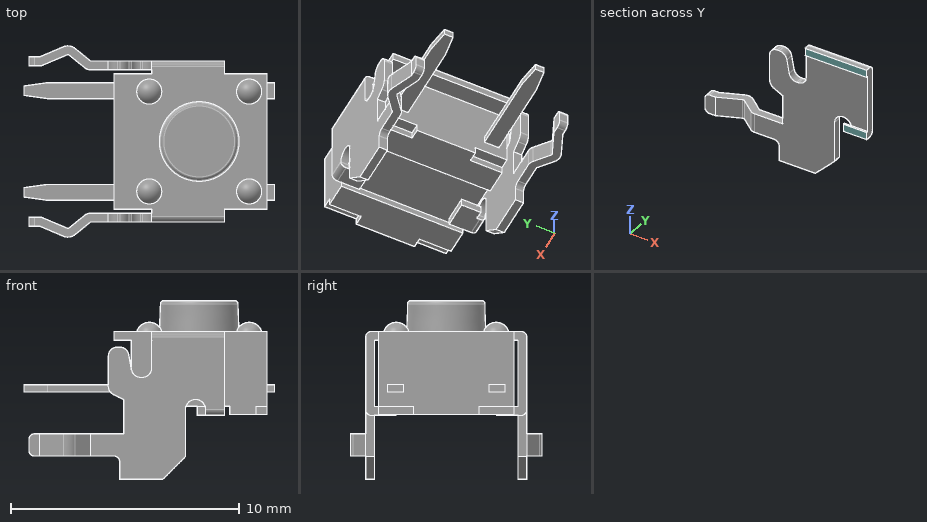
import cadquery as cq
import math


body_size = 5.96
body_half = body_size / 2
body_bottom = -3.65
relief_ceiling = -3.29
channel_width = 2.68
corner_relief_length = 0.48
corner_relief_inner_y = 1.43

sheet = 0.4
cover_left = -3.74
bracket_outer_y = 3.54
bracket_inner_y = bracket_outer_y - sheet
bend_radius = 0.26
tab_left = -2.09
tab_right = 1.12

slot_radius = 0.4
slot_flat = 0.08
slot_right_center = (tab_left - slot_radius, -1.62)
slot_left_center = (slot_right_center[0] - slot_flat, slot_right_center[1])
ear_left = -3.99
ear_radius = 0.4
ear_flat = 0.11
ear_left_center = (ear_left + ear_radius, -1.09)
ear_right_center = (ear_left_center[0] + ear_flat, ear_left_center[1])
ear_bottom_angle = 26
ear_lower_radius = 0.43
neck_left = -3.31
neck_top = -3.0

stem_bottom = -6.5
stem_left = -3.49
stem_right = -0.6
stem_chamfer = 1.0
corner_radius = 0.25
clearance_radius = 0.44

foot_bottom = relief_ceiling - sheet
foot_left = -0.095
foot_inner_y = 2.2

arm_top = -4.49
arm_bottom = -5.475
arm_end = -7.47
arm_tail_outer_y = 3.72
arm_tip_y = 4.2
arm_tip_x = -5.76
arm_tip_inner_radius = 0.1
arm_tip_radius = arm_tip_inner_radius + sheet
arm_near_angle = 39
arm_far_angle = 23

pin_left = -7.69
pin_right = 3.31
pin_taper_end = -6.66
pin_width = 0.71
pin_tip_width = 0.42
pin_thickness = 0.33
pin_y = 2.23
pin_z = -2.5

button_diameter = 3.5
button_top_diameter = 3.4
button_height = 1.35
button_edge_radius = 0.15
rivet_radius = 0.55
rivet_height = 0.4
rivet_offset = 2.19


def box(x0, x1, y0, y1, z0, z1):
    return cq.Workplane("XY").box(x1 - x0, y1 - y0, z1 - z0, centered=False).translate((x0, y0, z0))


def on_circle(center, radius, degrees):
    angle = math.radians(degrees)
    return (center[0] + radius * math.cos(angle), center[1] + radius * math.sin(angle))


def make_housing():
    housing = box(-body_half, body_half, -body_half, body_half, body_bottom, 0)
    housing = housing.cut(
        box(-channel_width / 2, channel_width / 2, -body_half, body_half, body_bottom, relief_ceiling)
    )
    relief_start = body_half - corner_relief_length
    relief = box(relief_start, body_half, corner_relief_inner_y, body_half, body_bottom, relief_ceiling)
    for side in (relief, relief.mirror("XZ")):
        housing = housing.cut(side).cut(side.mirror("YZ"))
    return housing


def make_cover():
    return box(cover_left, body_half, -body_half, body_half, -sheet, 0)


def make_bracket_plate():
    dx = slot_left_center[0] - ear_right_center[0]
    dz = slot_left_center[1] - ear_right_center[1]
    spread = math.degrees(math.acos((ear_radius + slot_radius) / math.hypot(dx, dz)))
    flank_angle = math.degrees(math.atan2(dz, dx)) + spread

    underside_slope = math.tan(math.radians(ear_bottom_angle))
    corner_z = neck_top + (neck_left - ear_left) * underside_slope
    setback = ear_lower_radius * math.tan(math.radians(90 - ear_bottom_angle) / 2)
    lower_center = (ear_left + ear_lower_radius, corner_z + setback)
    underside_angle = 270 - ear_bottom_angle

    clearance_x = stem_right + clearance_radius
    clearance_z = foot_bottom + bend_radius
    clearance_right = stem_right + 2 * clearance_radius

    outline = (
        cq.Workplane("XZ", origin=(0, -bracket_inner_y, 0))
        .moveTo(tab_right, 0)
        .lineTo(tab_left, 0)
        .lineTo(tab_left, slot_right_center[1])
        .threePointArc(on_circle(slot_right_center, slot_radius, 315),
                       on_circle(slot_right_center, slot_radius, 270))
        .lineTo(*on_circle(slot_left_center, slot_radius, 270))
        .threePointArc(on_circle(slot_left_center, slot_radius, (270 + 180 + flank_angle) / 2),
                       on_circle(slot_left_center, slot_radius, 180 + flank_angle))
        .lineTo(*on_circle(ear_right_center, ear_radius, flank_angle))
        .threePointArc(on_circle(ear_right_center, ear_radius, (90 + flank_angle) / 2),
                       on_circle(ear_right_center, ear_radius, 90))
        .lineTo(*on_circle(ear_left_center, ear_radius, 90))
        .threePointArc(on_circle(ear_left_center, ear_radius, 135), (ear_left, ear_left_center[1]))
        .lineTo(ear_left, lower_center[1])
        .threePointArc(on_circle(lower_center, ear_lower_radius, (180 + underside_angle) / 2),
                       on_circle(lower_center, ear_lower_radius, underside_angle))
        .lineTo(neck_left, neck_top)
        .lineTo(neck_left, arm_top)
        .lineTo(stem_left - corner_radius, arm_top)
        .lineTo(stem_left - corner_radius, arm_bottom)
        .threePointArc(on_circle((stem_left - corner_radius, arm_bottom - corner_radius), corner_radius, 45),
                       (stem_left, arm_bottom - corner_radius))
        .lineTo(stem_left, stem_bottom)
        .lineTo(stem_right - stem_chamfer, stem_bottom)
        .lineTo(stem_right, stem_bottom + stem_chamfer)
        .lineTo(stem_right, clearance_z)
        .threePointArc((clearance_x, clearance_z + clearance_radius), (clearance_right, clearance_z))
        .lineTo(clearance_right, foot_bottom)
        .lineTo(tab_right, foot_bottom)
        .close()
    )
    plate = outline.extrude(sheet)
    for bend in (((tab_left + tab_right) / 2, 0), ((clearance_right + tab_right) / 2, foot_bottom)):
        edge_point = (bend[0], -bracket_outer_y, bend[1])
        plate = plate.edges(cq.NearestToPointSelector(edge_point)).fillet(bend_radius)
    return plate


def make_arm():
    tip = (arm_tip_x, arm_tip_radius - arm_tip_y)
    near_out = 270 + arm_near_angle
    far_out = 270 - arm_far_angle
    near_slope = math.tan(math.radians(arm_near_angle))
    far_slope = math.tan(math.radians(arm_far_angle))

    near_tangent = on_circle(tip, arm_tip_radius, near_out)
    bend = (near_tangent[0] + (-bracket_outer_y - near_tangent[1]) / near_slope, -bracket_outer_y)
    far_tangent = on_circle(tip, arm_tip_radius, far_out)
    tail_x = far_tangent[0] - (-arm_tail_outer_y - far_tangent[1]) / far_slope
    tail_inner_x = tail_x + sheet * math.tan(math.radians(arm_far_angle / 2))

    arm = (
        cq.Workplane("XY", origin=(0, 0, arm_bottom))
        .moveTo(neck_left, -bracket_outer_y)
        .lineTo(*bend)
        .lineTo(*near_tangent)
        .threePointArc(on_circle(tip, arm_tip_radius, 270), far_tangent)
        .lineTo(tail_x, -arm_tail_outer_y)
        .lineTo(arm_end, -arm_tail_outer_y)
        .lineTo(arm_end, sheet - arm_tail_outer_y)
        .lineTo(tail_inner_x, sheet - arm_tail_outer_y)
        .lineTo(*on_circle(tip, arm_tip_inner_radius, far_out))
        .threePointArc(on_circle(tip, arm_tip_inner_radius, 270),
                       on_circle(tip, arm_tip_inner_radius, near_out))
        .lineTo(*on_circle(bend, sheet, 90 + arm_near_angle))
        .threePointArc(on_circle(bend, sheet, 90 + arm_near_angle / 2), (bend[0], -bracket_inner_y))
        .lineTo(neck_left, -bracket_inner_y)
        .close()
        .extrude(arm_top - arm_bottom)
    )
    return arm.faces("<X").edges("|Y").fillet(corner_radius)


def make_bracket():
    bridge = box(tab_left, tab_right, -bracket_inner_y, -body_half, -sheet, 0)
    foot = box(foot_left, tab_right, -bracket_inner_y, -foot_inner_y, foot_bottom, relief_ceiling)
    return make_bracket_plate().union(bridge).union(foot).union(make_arm())


def make_pin():
    half = pin_width / 2
    tip_half = pin_tip_width / 2
    return (
        cq.Workplane("XY", origin=(0, pin_y, pin_z - pin_thickness / 2))
        .polyline([
            (pin_left, -tip_half),
            (pin_taper_end, -half),
            (pin_right, -half),
            (pin_right, half),
            (pin_taper_end, half),
            (pin_left, tip_half),
        ])
        .close()
        .extrude(pin_thickness)
    )


def make_button():
    button = (
        cq.Workplane("XY")
        .circle(button_diameter / 2)
        .workplane(offset=button_height)
        .circle(button_top_diameter / 2)
        .loft()
    )
    return button.faces(">Z").edges().fillet(button_edge_radius)


def make_rivets():
    sphere_radius = (rivet_radius ** 2 + rivet_height ** 2) / (2 * rivet_height)
    spheres = (
        cq.Workplane("XY", origin=(0, 0, rivet_height - sphere_radius))
        .rect(2 * rivet_offset, 2 * rivet_offset, forConstruction=True)
        .vertices()
        .sphere(sphere_radius)
    )
    above = box(-body_half, body_half, -body_half, body_half, -sheet, rivet_height)
    return spheres.intersect(above)


bracket = make_bracket()
pin = make_pin()
result = make_housing().union(make_cover())
for side_part in (bracket, pin):
    result = result.union(side_part).union(side_part.mirror("XZ"))
result = result.union(make_button()).union(make_rivets())